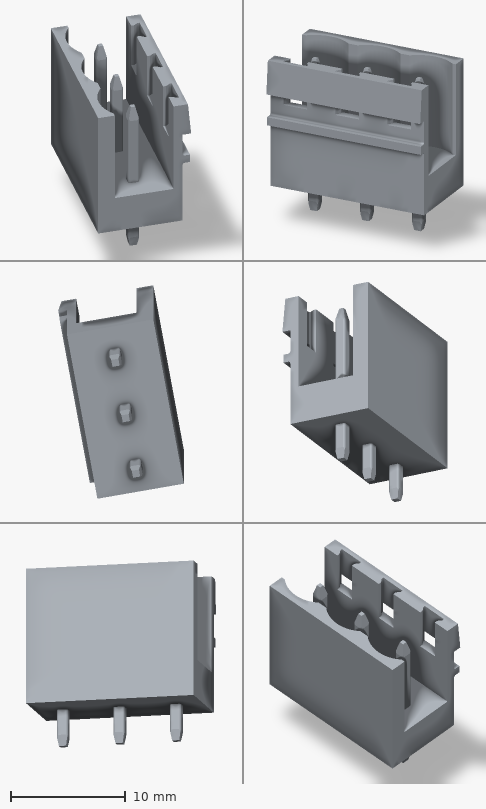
import cadquery as cq

HOUSING_LENGTH = 15.03
HOUSING_HEIGHT = 12.0
HOUSING_DEPTH = 7.66
FLOOR_THICKNESS = 3.42
FRONT_WALL_THICKNESS = 1.5
BACK_WALL_THICKNESS = 0.82
CAVITY_BACK_Y = HOUSING_DEPTH - BACK_WALL_THICKNESS

LATCH_TIP_Y = 8.44
LATCH_TOP_Y = 8.15
LATCH_BOTTOM_Z = 8.9

RIB_OUTER_Y = 8.33
RIB_BOTTOM_Z = 5.96
RIB_TOP_Z = 6.72
RIB_ROOT_RADIUS = 0.2

PIN_COUNT = 3
PIN_PITCH = 5.08
PIN_CENTRES_X = [(i - (PIN_COUNT - 1) / 2) * PIN_PITCH for i in range(PIN_COUNT)]

SCALLOP_HALF_CHORD = 2.08
SCALLOP_DEPTH = 0.76

KEYWAY_NECK_WIDTH = 1.8
KEYWAY_BACK_WIDTH = 2.33
KEYWAY_NECK_DEPTH = 0.29
KEYWAY_FLARE_DEPTH = 0.65
KEYWAY_DEPTH = 0.85
KEYWAY_FLOOR_Z = 7.87

PIN_CENTRE_Y = 3.8
PIN_WIDTH = 1.0
PIN_EDGE_RADIUS = 0.2
PIN_TOP_Z = 11.1
PIN_BOTTOM_Z = -3.2
PIN_TOP_TAPER = 1.25
PIN_BOTTOM_TAPER = 0.95
PIN_TOP_TIP_WIDTH = 0.4
PIN_BOTTOM_TIP_WIDTH = 0.64


def extruded_along_length(points):
    """Extrude a closed Y-Z outline over the full housing length, centred on X."""
    return cq.Workplane("YZ").polyline(points).close().extrude(HOUSING_LENGTH / 2, both=True)


def make_channel():
    """Channel with the latch lip and the rib on its back wall."""
    channel = extruded_along_length([
        (0, 0),
        (HOUSING_DEPTH, 0),
        (HOUSING_DEPTH, RIB_BOTTOM_Z),
        (RIB_OUTER_Y, RIB_BOTTOM_Z),
        (RIB_OUTER_Y, RIB_TOP_Z),
        (HOUSING_DEPTH, RIB_TOP_Z),
        (HOUSING_DEPTH, LATCH_BOTTOM_Z),
        (LATCH_TIP_Y, LATCH_BOTTOM_Z),
        (LATCH_TOP_Y, HOUSING_HEIGHT),
        (CAVITY_BACK_Y, HOUSING_HEIGHT),
        (CAVITY_BACK_Y, FLOOR_THICKNESS),
        (FRONT_WALL_THICKNESS, FLOOR_THICKNESS),
        (FRONT_WALL_THICKNESS, HOUSING_HEIGHT),
        (0, HOUSING_HEIGHT),
    ])
    for root_z in (RIB_BOTTOM_Z, RIB_TOP_Z):
        root_edge = cq.selectors.NearestToPointSelector((0, HOUSING_DEPTH, root_z))
        channel = channel.edges(root_edge).fillet(RIB_ROOT_RADIUS)
    return channel


def make_scallop_cut(x):
    """Shallow circular segment, from the cavity floor up through the top of the front wall."""
    return (
        cq.Workplane("XY", origin=(x, FRONT_WALL_THICKNESS, FLOOR_THICKNESS))
        .moveTo(-SCALLOP_HALF_CHORD, 0)
        .threePointArc((0, -SCALLOP_DEPTH), (SCALLOP_HALF_CHORD, 0))
        .close()
        .extrude(HOUSING_HEIGHT - FLOOR_THICKNESS)
    )


def make_keyway_cut(x):
    """Flared slot, widening away from the cavity and open at the top."""
    half_neck = KEYWAY_NECK_WIDTH / 2
    half_back = KEYWAY_BACK_WIDTH / 2
    return (
        cq.Workplane("XY", origin=(x, CAVITY_BACK_Y, KEYWAY_FLOOR_Z))
        .polyline([
            (-half_neck, 0),
            (half_neck, 0),
            (half_neck, KEYWAY_NECK_DEPTH),
            (half_back, KEYWAY_FLARE_DEPTH),
            (half_back, KEYWAY_DEPTH),
            (-half_back, KEYWAY_DEPTH),
            (-half_back, KEYWAY_FLARE_DEPTH),
            (-half_neck, KEYWAY_NECK_DEPTH),
        ])
        .close()
        .extrude(HOUSING_HEIGHT - KEYWAY_FLOOR_Z)
    )


def make_tapered_end(x, base_z, tip_z, tip_width):
    """Square frustum from the full pin width at base_z to tip_width at tip_z."""
    return (
        cq.Workplane("XY", origin=(x, PIN_CENTRE_Y, base_z))
        .rect(PIN_WIDTH, PIN_WIDTH)
        .workplane(offset=tip_z - base_z)
        .rect(tip_width, tip_width)
        .loft()
    )


def make_pin(x):
    """Pin through the floor: a round-edged square bar trimmed to a taper at both ends."""
    bar = (
        cq.Workplane("XY", origin=(x, PIN_CENTRE_Y, PIN_BOTTOM_Z))
        .rect(PIN_WIDTH, PIN_WIDTH)
        .extrude(PIN_TOP_Z - PIN_BOTTOM_Z)
        .edges("|Z")
        .fillet(PIN_EDGE_RADIUS)
    )
    shank_bottom_z = PIN_BOTTOM_Z + PIN_BOTTOM_TAPER
    shank_top_z = PIN_TOP_Z - PIN_TOP_TAPER
    envelope = (
        cq.Workplane("XY", origin=(x, PIN_CENTRE_Y, shank_bottom_z))
        .rect(PIN_WIDTH, PIN_WIDTH)
        .extrude(shank_top_z - shank_bottom_z)
        .union(make_tapered_end(x, shank_top_z, PIN_TOP_Z, PIN_TOP_TIP_WIDTH))
        .union(make_tapered_end(x, shank_bottom_z, PIN_BOTTOM_Z, PIN_BOTTOM_TIP_WIDTH))
    )
    return bar.intersect(envelope)


def make_housing(pins):
    """Channel with scallops, keyways and a matching hole for each pin."""
    housing = make_channel()
    for x in PIN_CENTRES_X:
        housing = housing.cut(make_scallop_cut(x))
        housing = housing.cut(make_keyway_cut(x))
    for pin in pins:
        housing = housing.cut(pin)
    return housing


pins = [make_pin(x) for x in PIN_CENTRES_X]
housing = make_housing(pins)

result = cq.Compound.makeCompound([housing.val(), *[pin.val() for pin in pins]])